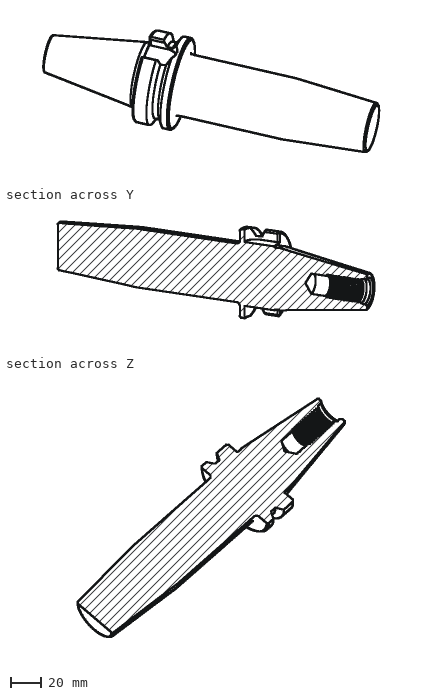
import cadquery as cq
import math

total_length = 225.5
taper_length = 63.8
flange_front = 67.5
flange_back = 92.9
nose_start = 167.7

taper_small_radius = 12.8
gauge_radius = 22.3
flange_diameter = 62.9
flange_radius = flange_diameter / 2
shaft_radius = 21.0
nose_end_radius = 17.0

taper_end_chamfer = 0.7
neck_relief_width = 1.1
neck_relief_depth = 0.34
flange_chamfer = 1.1
shaft_fillet = 2.3
nose_chamfer = 1.1

groove_radius = 26.4
groove_front = 77.5
groove_floor_front = 80.2
groove_floor_back = 84.0
groove_back = 87.2

slot_width = 16.0
slot_floor = 22.8
slot_end = 89.3
slot_chamfer = 1.4

thread_minor_radius = 7.0
thread_major_radius = 8.1
thread_pitch = 2.0
thread_start = 5.6
thread_count = 12
hole_depth = 40.5
mouth_radius = 10.0
lead_in_radius = 8.5
drill_tip_half_angle = 59


def revolve_about_x(points):
    """Revolve an (x, radius) outline about the X axis."""
    return cq.Workplane("XY").polyline(points).close().revolve(360, (0, 0, 0), (1, 0, 0))


def make_body():
    """Taper, neck, grooved flange, shaft and conical nose as one revolved outline."""
    relief_radius = gauge_radius - neck_relief_depth
    rim_radius = flange_radius - flange_chamfer
    fillet_mid = shaft_fillet * (1 - math.sqrt(0.5))
    outline = (
        cq.Workplane("XY")
        .lineTo(0, taper_small_radius - taper_end_chamfer)
        .lineTo(taper_end_chamfer, taper_small_radius)
        .lineTo(taper_length, gauge_radius)
        .lineTo(taper_length + neck_relief_width, relief_radius)
        .lineTo(flange_front - neck_relief_width, relief_radius)
        .lineTo(flange_front, gauge_radius)
        .lineTo(flange_front, rim_radius)
        .lineTo(flange_front + flange_chamfer, flange_radius)
        .lineTo(groove_front, flange_radius)
        .lineTo(groove_floor_front, groove_radius)
        .lineTo(groove_floor_back, groove_radius)
        .lineTo(groove_back, flange_radius)
        .lineTo(flange_back - flange_chamfer, flange_radius)
        .lineTo(flange_back, rim_radius)
        .lineTo(flange_back, shaft_radius + shaft_fillet)
        .threePointArc(
            (flange_back + fillet_mid, shaft_radius + fillet_mid),
            (flange_back + shaft_fillet, shaft_radius),
        )
        .lineTo(nose_start, shaft_radius)
        .lineTo(total_length - nose_chamfer, nose_end_radius)
        .lineTo(total_length, nose_end_radius - nose_chamfer)
        .lineTo(total_length, 0)
        .close()
    )
    return outline.revolve(360, (0, 0, 0), (1, 0, 0))


def make_slot():
    """Round-ended cutter for the upper drive slot, open towards the taper."""
    slot_radius = slot_width / 2
    arc_start = slot_end - slot_radius
    return (
        cq.Workplane("XY", origin=(0, 0, slot_floor))
        .moveTo(taper_length, -slot_radius)
        .lineTo(arc_start, -slot_radius)
        .threePointArc((slot_end, 0), (arc_start, slot_radius))
        .lineTo(taper_length, slot_radius)
        .close()
        .extrude(flange_radius)
    )


def make_front_bevel():
    """Cutter that bevels the slot walls where they meet the flange's front face."""
    half_width = slot_width / 2
    bevel_end = flange_front + slot_chamfer
    return (
        cq.Workplane("XY", origin=(0, 0, slot_floor))
        .polyline([
            (flange_front, -half_width - slot_chamfer),
            (bevel_end, -half_width),
            (bevel_end, half_width),
            (flange_front, half_width + slot_chamfer),
        ])
        .close()
        .extrude(flange_radius)
    )


def make_rim_bevel():
    """Cutter that bevels the slot walls where they meet the flange's rim."""
    half_width = slot_width / 2
    outer_half_width = half_width + slot_chamfer
    bevel_top = math.sqrt(flange_radius**2 - outer_half_width**2)
    return (
        cq.Workplane("YZ", origin=(flange_front, 0, 0))
        .polyline([
            (-half_width, bevel_top - slot_chamfer),
            (half_width, bevel_top - slot_chamfer),
            (outer_half_width, bevel_top),
            (outer_half_width, flange_radius),
            (-outer_half_width, flange_radius),
            (-outer_half_width, bevel_top),
        ])
        .close()
        .extrude(groove_floor_front - flange_front)
    )


def make_threaded_hole():
    """Blind hole with a countersunk mouth, ring-shaped thread and drill tip."""
    tip_depth = hole_depth + thread_minor_radius / math.tan(math.radians(drill_tip_half_angle))
    points = [
        (0, 0),
        (0, mouth_radius),
        (mouth_radius - lead_in_radius, lead_in_radius),
        (thread_start - (lead_in_radius - thread_minor_radius), lead_in_radius),
        (thread_start, thread_minor_radius),
    ]
    for turn in range(thread_count):
        root = thread_start + turn * thread_pitch
        points.append((root + thread_pitch / 2, thread_major_radius))
        points.append((root + thread_pitch, thread_minor_radius))
    points += [(hole_depth, thread_minor_radius), (tip_depth, 0)]
    return revolve_about_x(points)


result = make_body()
upper_slot = make_slot().union(make_front_bevel()).union(make_rim_bevel())
for angle in (0, 180):
    result = result.cut(upper_slot.rotate((0, 0, 0), (1, 0, 0), angle))
result = result.cut(make_threaded_hole())